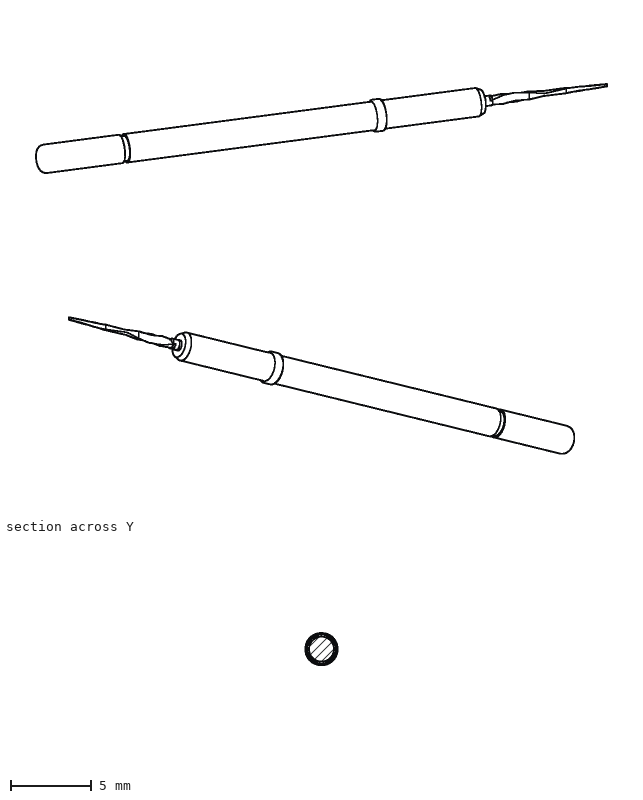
import cadquery as cq

total_length = 37.3
handle_length = 29.1
handle_radius = 0.9
rear_rounding = 0.45
front_taper_length = 0.35
front_face_radius = 0.75

ring_center = 22.23
ring_width = 0.6
ring_radius = 1.0
ring_rounding = 0.095
groove_start = 5.37
groove_width = 0.35
groove_radius = 0.8

shank_length = 0.6
shank_radius = 0.317
collar_length = 0.15
collar_radius = 0.35

blade_base_width = 0.65
blade_tip_width = 0.15
thickness_ratio = 0.45
twist_angle = 45.0
blade_start = handle_length + shank_length
blade_length = total_length - blade_start
blade_overlap = 0.15

blade_stations = [
    (-blade_overlap, twist_angle),
    (0.75, 0.0),
    (1.55, -twist_angle),
    (2.45, 0.0),
    (3.45, twist_angle),
    (4.92, 0.0),
    (5.75, -twist_angle),
    (6.5, 0.0),
    (blade_length, 0.0),
]


def cylinder_along_y(start, length, radius):
    """Solid cylinder running in +Y from the given position."""
    base = cq.Plane(origin=(0, start, 0), xDir=(1, 0, 0), normal=(0, 1, 0))
    return cq.Workplane(base).circle(radius).extrude(length)


def make_handle():
    """Bar with a rounded rear end and a conical front shoulder."""
    outline = (
        cq.Workplane("XY")
        .lineTo(handle_radius - rear_rounding, 0)
        .radiusArc((handle_radius, rear_rounding), -rear_rounding)
        .lineTo(handle_radius, handle_length - front_taper_length)
        .lineTo(front_face_radius, handle_length)
        .lineTo(0, handle_length)
        .close()
    )
    return outline.revolve(360, (0, 0, 0), (0, 1, 0))


def make_ring():
    ring = cylinder_along_y(ring_center - ring_width / 2, ring_width, ring_radius)
    return ring.edges("%CIRCLE").fillet(ring_rounding)


def make_groove():
    outer = cylinder_along_y(groove_start, groove_width, ring_radius)
    core = cylinder_along_y(groove_start, groove_width, groove_radius)
    return outer.cut(core)


def blade_section(distance, angle):
    """Rectangular strip section, narrowing evenly toward the tip."""
    taper = (blade_base_width - blade_tip_width) / blade_length
    width = blade_base_width - taper * distance
    plane = cq.Plane(
        origin=(0, blade_start + distance, 0), xDir=(1, 0, 0), normal=(0, 1, 0)
    ).rotated((0, 0, angle))
    return cq.Workplane(plane).rect(width * thickness_ratio, width).wires().val()


def make_blade():
    sections = [blade_section(distance, angle) for distance, angle in blade_stations]
    return cq.Workplane(obj=cq.Solid.makeLoft(sections, True))


handle = make_handle().union(make_ring()).cut(make_groove())
shank = cylinder_along_y(handle_length, shank_length, shank_radius)
collar = cylinder_along_y(handle_length, collar_length, collar_radius)

result = handle.union(shank).union(collar).union(make_blade())